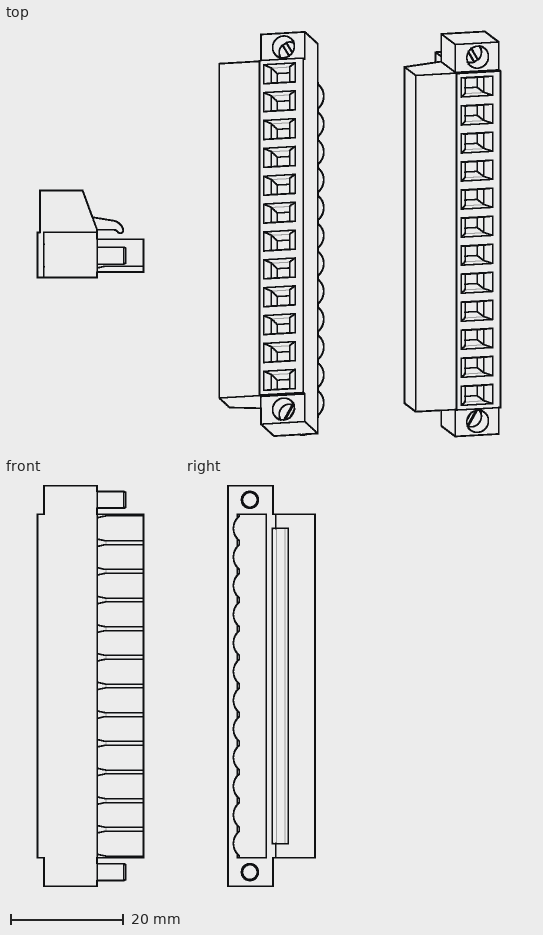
import cadquery as cq

pole_count = 12
row_height = 61.0
total_height = 71.1
pole_pitch = row_height / pole_count
flange_height = (total_height - row_height) / 2
row_bottom = flange_height
row_top = row_bottom + row_height
pole_centers = [row_bottom + (i + 0.5) * pole_pitch for i in range(pole_count)]

base_depth = 10.6
base_width = 8.05
total_width = 15.5
upper_start = 0.4
upper_end = 8.05
slope_foot = 8.45
flange_start = 1.15

plug_end = 18.85
plug_back = 6.8
plug_web = 2.05
plug_front = 1.0
rib_width = 4.4
rib_rise = plug_web - plug_front
rib_radius = ((rib_width / 2) ** 2 + rib_rise ** 2) / (2 * rib_rise)
wedge_end = 12.1
wedge_rise = 0.35

funnel_depth = 1.2
entry_depth = 5.7
mouth_y = (1.5, 7.25)
mouth_height = 3.5
throat_y = (2.8, 6.2)
throat_height = 2.8

screw_y = 3.9
screw_offset = flange_height / 2
screw_hole_diameter = 4.0
screw_hole_depth = 4.3
screw_head_diameter = 3.8
slot_width = 0.8
slot_depth = 0.6
slot_angle = 60.0
pin_diameter = 3.0
pin_end = 15.7
pin_chamfer_length = 0.35
pin_chamfer_height = 0.18

latch_root_x = 8.5
latch_root_top = 10.95
latch_underside = 8.45
latch_bend_x = 13.65
latch_bend_top = 10.1
latch_back = (14.65, 9.5)
latch_tip_outer = (15.2, 8.6)
latch_tip_end = (15.0, 8.0)
latch_tip_inner = (14.4, 8.0)
latch_throat = (14.15, 8.25)
latch_inset = pole_pitch / 2


def box(x_range, y_range, z_range):
    """Axis-aligned box between the given limits."""
    size = [high - low for low, high in (x_range, y_range, z_range)]
    corner = (x_range[0], y_range[0], z_range[0])
    return cq.Workplane("XY").box(*size, centered=False).translate(corner)


def along_row(outline, inset=0.0):
    """Extrude a closed XY outline over the pole row, less an inset at each end."""
    return outline.extrude(row_height - 2 * inset).translate((0, 0, row_bottom + inset))


def x_cylinder(diameter, start, end, y, z):
    """Round bar along X between two X positions."""
    return cq.Workplane("YZ", origin=(start, y, z)).circle(diameter / 2).extrude(end - start)


def housing():
    base = box((0, base_depth), (0, base_width), (row_bottom, row_top))
    upper = along_row(
        cq.Workplane("XY").polyline([
            (upper_start, base_width),
            (upper_start, total_width),
            (upper_end, total_width),
            (base_depth, slope_foot),
            (base_depth, base_width),
        ]).close()
    )
    flanges = box((flange_start, base_depth), (0, base_width), (0, total_height))
    return base.union(flanges).union(upper)


def latch():
    """Hooked lip that leaves the sloping face and bends down at its tip."""
    return along_row(
        cq.Workplane("XY")
        .moveTo(latch_root_x, latch_root_top)
        .lineTo(latch_bend_x, latch_bend_top)
        .threePointArc(latch_back, latch_tip_outer)
        .threePointArc(latch_tip_end, latch_tip_inner)
        .threePointArc(latch_throat, (latch_bend_x, latch_underside))
        .lineTo(latch_root_x, latch_underside)
        .close(),
        latch_inset,
    )


def plug_row():
    """Block with a flat back and one rounded rib per pole on its front."""
    wedge_start = plug_web - wedge_rise
    row = along_row(
        cq.Workplane("XY").polyline([
            (base_depth, wedge_start),
            (wedge_end, plug_web),
            (plug_end, plug_web),
            (plug_end, plug_back),
            (base_depth, plug_back),
        ]).close()
    )
    rib_zone = box((base_depth, plug_end), (plug_front, plug_web), (row_bottom, row_top))
    for center in pole_centers:
        rib = x_cylinder(2 * rib_radius, base_depth, plug_end, plug_front + rib_radius, center)
        rib = rib.intersect(rib_zone)
        row = row.union(rib)
    return row


def wire_entry(center):
    """Funnel mouth tapering to a straight rectangular throat."""
    mouth_middle = sum(mouth_y) / 2
    throat_middle = sum(throat_y) / 2
    funnel = (
        cq.Workplane("YZ", origin=(0, 0, center))
        .center(mouth_middle, 0)
        .rect(mouth_y[1] - mouth_y[0], mouth_height)
        .workplane(offset=funnel_depth)
        .center(throat_middle - mouth_middle, 0)
        .rect(throat_y[1] - throat_y[0], throat_height)
        .loft(ruled=True)
    )
    half = throat_height / 2
    throat = box((funnel_depth, entry_depth), throat_y, (center - half, center + half))
    return funnel.union(throat)


def screw_recess(center, angle):
    """Blind hole around a recessed screw head that carries a driver slot."""
    head_top = flange_start + screw_hole_depth
    slot_floor = head_top + slot_depth
    hole = x_cylinder(screw_hole_diameter, flange_start, slot_floor, screw_y, center)
    head = x_cylinder(screw_head_diameter, head_top, slot_floor, screw_y, center)
    slot = (
        cq.Workplane("YZ", origin=(head_top, screw_y, center))
        .transformed(rotate=(0, 0, angle))
        .rect(screw_hole_diameter, slot_width)
        .extrude(slot_depth)
    )
    return hole.cut(head.cut(slot))


def screw_pin(center):
    """Screw end standing out of the +X face, with a chamfered tip."""
    radius = pin_diameter / 2
    return (
        cq.Workplane("XY", origin=(0, screw_y, center))
        .polyline([
            (base_depth, 0),
            (base_depth, radius),
            (pin_end - pin_chamfer_length, radius),
            (pin_end, radius - pin_chamfer_height),
            (pin_end, 0),
        ])
        .close()
        .revolve(360, (0, 0, 0), (1, 0, 0))
    )


result = housing().union(latch()).union(plug_row())

for pole_center in pole_centers:
    result = result.cut(wire_entry(pole_center))

for screw_z, turn in ((screw_offset, -slot_angle), (total_height - screw_offset, slot_angle)):
    result = result.union(screw_pin(screw_z))
    result = result.cut(screw_recess(screw_z, turn))